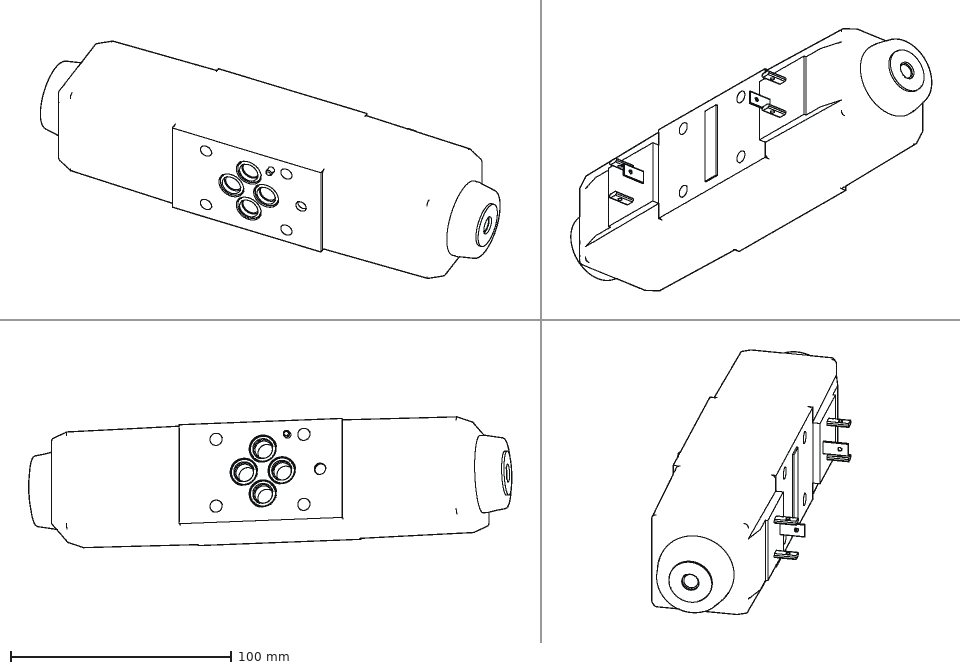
import cadquery as cq


total_length = 219.28
total_depth = 66.3
block_length = 75.0
block_height = 46.0
mount_face_y = -24.5
block_rear_y = 23.5
block_depth = block_rear_y - mount_face_y

label_width = 8.0
label_height = 36.4
label_thickness = 0.7

bolt_column_x = -20.5
bolt_spacing = 40.5
left_bolt_z = 15.5
right_bolt_z = 16.25
bolt_hole_diameter = 5.6
port_center_x = bolt_column_x + 21.5
side_port_offset = 8.75
end_port_offset = 10.4
port_diameter = 8.0
port_depth = 10.0
port_mouth_diameter = 9.2
port_mouth_depth = 2.4
seal_seat_diameter = 12.5
seal_seat_depth = 1.6
seal_cord_radius = 0.89
seal_ring_radius = 4.95
gauge_hole_x = 27.4
gauge_hole_diameter = 5.2
gauge_hole_depth = 2.0

pin_diameter = 3.0
pin_projection = 3.3
pin_socket_depth = 5.0
pin_chamfer = 0.5
pin_x = bolt_column_x + 33.0
pin_z = right_bolt_z

coil_start = block_length / 2
shoulder_x = 89.9
coil_end = 97.5
coil_root_size = 46.0
coil_root_width = 46.5
coil_shoulder_size = 45.0
coil_end_size = 40.0
coil_edge_radius = 2.0
end_face_radius = 1.7

nut_end = total_length / 2
nut_face_x = nut_end - 1.1
nut_cone_start = 99.6
nut_root_radius = 17.6
nut_face_radius = 16.0
nut_edge_radius = 1.2
nut_boss_radius = 10.0
bore_diameter = 6.6
bore_mouth_diameter = 8.0
bore_mouth_depth = 1.2

base_height = 30.2
base_plate_y = 26.8
base_plate_end = 68.8
base_ramp_y = 25.6
base_ramp_end = 79.0

terminal_root_y = base_plate_y - 1.0
earth_x = 44.3
earth_thickness = 0.8
earth_width = 6.3
earth_tip_y = total_depth - pin_projection + mount_face_y
earth_hole_y = 34.5
contact_x = 53.6
contact_z = 8.6
contact_width = 4.8
contact_thickness = 2.0
contact_tip_y = 36.9
contact_hole_y = 32.7
terminal_hole_diameter = 1.8
blade_chamfer_ratio = 0.3


def mount_hole(x, z, diameter, depth):
    """Cylinder that cuts a hole into the mounting face."""
    return (
        cq.Workplane("XZ", origin=(x, mount_face_y, z))
        .circle(diameter / 2)
        .extrude(-depth)
    )


def make_block():
    block = cq.Workplane("XY").box(block_length, block_depth, block_height)
    block = block.translate((0, (block_rear_y + mount_face_y) / 2, 0))
    label = cq.Workplane("XY").box(label_width, 2 * label_thickness, label_height)
    return block.union(label.translate((0, block_rear_y, 0)))


def make_seal_ring(x, z):
    """Round sealing ring, flush with the mounting face and joined to its seat."""
    seal_y = mount_face_y + seal_cord_radius
    return (
        cq.Workplane("XY", origin=(x + seal_ring_radius, seal_y, z))
        .circle(seal_cord_radius)
        .revolve(360, (-seal_ring_radius, 0, 0), (-seal_ring_radius, 1, 0))
    )


def make_coil_body():
    """Drafted, nearly square coil, with a steeper taper up to its end face."""
    main = (
        cq.Workplane("YZ", origin=(coil_start, 0, 0))
        .rect(coil_root_width, coil_root_size)
        .workplane(offset=shoulder_x - coil_start)
        .rect(coil_shoulder_size, coil_shoulder_size)
        .loft(ruled=True)
    )
    taper = (
        cq.Workplane("YZ", origin=(shoulder_x, 0, 0))
        .rect(coil_shoulder_size, coil_shoulder_size)
        .workplane(offset=coil_end - shoulder_x)
        .rect(coil_end_size, coil_end_size)
        .loft(ruled=True)
    )
    long_edges = "not(#X)"
    main = main.edges(long_edges).fillet(coil_edge_radius)
    taper = taper.edges(long_edges).fillet(coil_edge_radius)
    taper = taper.faces(">X").edges().fillet(end_face_radius)
    return main.union(taper)


def make_nut():
    nut = (
        cq.Workplane("XY")
        .moveTo(coil_end, 0)
        .lineTo(coil_end, nut_root_radius)
        .lineTo(nut_cone_start, nut_root_radius)
        .lineTo(nut_face_x, nut_face_radius)
        .lineTo(nut_face_x, 0)
        .close()
        .revolve(360, (0, 0, 0), (1, 0, 0))
        .faces(">X").edges().fillet(nut_edge_radius)
    )
    boss = (
        cq.Workplane("YZ", origin=(nut_face_x, 0, 0))
        .circle(nut_boss_radius)
        .extrude(nut_end - nut_face_x)
    )
    return nut.union(boss)


def make_terminal_base():
    """Stepped base whose ramp runs down to the shoulder of the coil."""
    return (
        cq.Workplane("XY")
        .moveTo(coil_start, 0)
        .lineTo(coil_start, base_plate_y)
        .lineTo(base_plate_end, base_plate_y)
        .lineTo(base_plate_end, base_ramp_y)
        .lineTo(base_ramp_end, base_ramp_y)
        .lineTo(shoulder_x, coil_shoulder_size / 2)
        .lineTo(shoulder_x, 0)
        .close()
        .extrude(base_height / 2, both=True)
    )


def make_blade(width, thickness, tip_y, hole_y, chamfered_edges):
    """Blade across X with chamfered edges and a cross hole along Z."""
    length = tip_y - terminal_root_y
    blade = (
        cq.Workplane("XY", origin=(0, terminal_root_y + length / 2, 0))
        .box(width, length, thickness)
        .edges(chamfered_edges)
        .chamfer(blade_chamfer_ratio * thickness)
    )
    hole = (
        cq.Workplane("XY", origin=(0, hole_y, 0))
        .circle(terminal_hole_diameter / 2)
        .extrude(thickness, both=True)
    )
    return blade.cut(hole)


def make_coil():
    """Complete coil of the +X end: body, nut, terminal base and terminals."""
    coil = make_coil_body().union(make_nut()).union(make_terminal_base())
    earth = make_blade(earth_width, earth_thickness, earth_tip_y, earth_hole_y, "|Y or >Y")
    earth = earth.rotate((0, 0, 0), (0, 1, 0), 90).translate((earth_x, 0, 0))
    coil = coil.union(earth)
    for side in (-1, 1):
        contact = make_blade(
            contact_width, contact_thickness, contact_tip_y, contact_hole_y, "|Y"
        )
        coil = coil.union(contact.translate((contact_x, 0, side * contact_z)))
    return coil


def cut_mounting_pattern(valve):
    for z in (-1, 1):
        bolt_points = (
            (bolt_column_x, z * left_bolt_z),
            (bolt_column_x + bolt_spacing, z * right_bolt_z),
        )
        for hole_x, hole_z in bolt_points:
            valve = valve.cut(mount_hole(hole_x, hole_z, bolt_hole_diameter, block_depth))
    port_points = (
        (port_center_x - side_port_offset, 0),
        (port_center_x + side_port_offset, 0),
        (port_center_x, -end_port_offset),
        (port_center_x, end_port_offset),
    )
    for port_x, port_z in port_points:
        valve = valve.cut(mount_hole(port_x, port_z, seal_seat_diameter, seal_seat_depth))
        valve = valve.union(make_seal_ring(port_x, port_z))
        valve = valve.cut(mount_hole(port_x, port_z, port_mouth_diameter, port_mouth_depth))
        valve = valve.cut(mount_hole(port_x, port_z, port_diameter, port_depth))
    valve = valve.cut(mount_hole(gauge_hole_x, 0, gauge_hole_diameter, gauge_hole_depth))
    return valve.cut(mount_hole(pin_x, pin_z, pin_diameter, pin_socket_depth))


def make_valve():
    coil = make_coil()
    valve = make_block().union(coil).union(coil.mirror("YZ"))
    bore = (
        cq.Workplane("YZ")
        .circle(bore_diameter / 2)
        .extrude(total_length, both=True)
    )
    valve = valve.cut(bore)
    for side in (-1, 1):
        mouth = (
            cq.Workplane("YZ", origin=(side * nut_end, 0, 0))
            .circle(bore_mouth_diameter / 2)
            .extrude(-side * bore_mouth_depth)
        )
        valve = valve.cut(mouth)
    return cut_mounting_pattern(valve)


def make_locating_pin():
    return (
        cq.Workplane("XZ", origin=(pin_x, mount_face_y + pin_socket_depth, pin_z))
        .circle(pin_diameter / 2)
        .extrude(pin_socket_depth + pin_projection)
        .faces("<Y").chamfer(pin_chamfer)
    )


valve = make_valve()
locating_pin = make_locating_pin()

result = cq.Compound.makeCompound([valve.val(), locating_pin.val()])